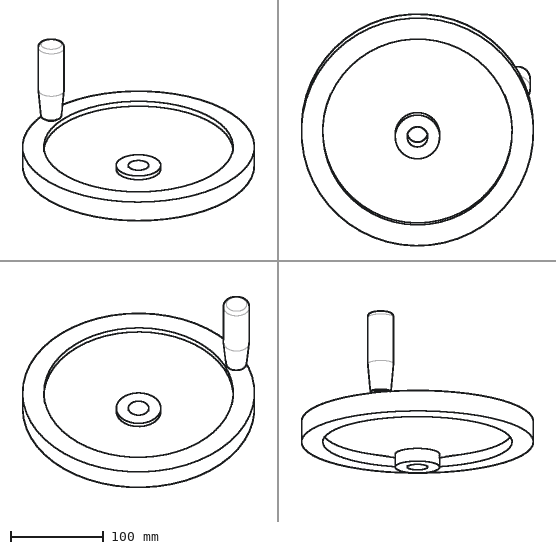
import cadquery as cq
import math

rim_radius = 125.0
rim_inner_radius = 102.0
rim_bottom = 28.0
rim_top = 51.0

hub_radius = 24.0
hub_top = 28.0
bore_radius = 11.0

web_recess_depth = 6.0
web_top_at_hub = 23.4
web_top_at_rim = rim_top - web_recess_depth
web_bottom_at_hub = 14.2
rim_crossing_radius = 67.0
web_bottom_slope = (rim_bottom - web_bottom_at_hub) / (rim_crossing_radius - hub_radius)
web_bottom_at_rim = web_bottom_at_hub + web_bottom_slope * (rim_inner_radius - hub_radius)

grip_radius = 14.0
handle_overhang = 2.5
handle_x = -(rim_radius + handle_overhang - grip_radius)
neck_radius = 6.5
neck_height = 3.0
grip_foot_radius = 11.2
grip_foot_chamfer = 0.5
taper_height = 32.0
grip_bottom = rim_top + neck_height
taper_top = grip_bottom + taper_height

handle_top = 143.5
crown_height = 1.5
crown_radius = 11.0
shoulder_height = 4.0
crown_edge = handle_top - crown_height
shoulder_bottom = crown_edge - shoulder_height
shoulder_mid_radius = 13.4
shoulder_mid_rise = 2.3
shoulder_mid = shoulder_bottom + shoulder_mid_rise


def make_wheel():
    """Hub, dished web and rim turned from one half section, bore included."""
    section = (
        cq.Workplane("XZ")
        .moveTo(bore_radius, 0)
        .lineTo(hub_radius, 0)
        .lineTo(hub_radius, web_bottom_at_hub)
        .lineTo(rim_inner_radius, web_bottom_at_rim)
        .lineTo(rim_inner_radius, rim_bottom)
        .lineTo(rim_radius, rim_bottom)
        .lineTo(rim_radius, rim_top)
        .lineTo(rim_inner_radius, rim_top)
        .lineTo(rim_inner_radius, web_top_at_rim)
        .lineTo(hub_radius, web_top_at_hub)
        .lineTo(hub_radius, hub_top)
        .lineTo(bore_radius, hub_top)
        .close()
    )
    return section.revolve(360, (0, 0, 0), (0, 1, 0))


def make_handle():
    """Neck, chamfered and tapered foot, cylindrical grip, rounded shoulder and domed crown."""
    dome_radius = (crown_radius**2 + crown_height**2) / (2 * crown_height)
    dome_mid_radius = crown_radius / 2
    dome_mid = handle_top - dome_radius + math.sqrt(dome_radius**2 - dome_mid_radius**2)

    section = (
        cq.Workplane("XZ")
        .moveTo(0, rim_top)
        .lineTo(neck_radius, rim_top)
        .lineTo(neck_radius, grip_bottom)
        .lineTo(grip_foot_radius - grip_foot_chamfer, grip_bottom)
        .lineTo(grip_foot_radius, grip_bottom + grip_foot_chamfer)
        .lineTo(grip_radius, taper_top)
        .lineTo(grip_radius, shoulder_bottom)
        .threePointArc((shoulder_mid_radius, shoulder_mid), (crown_radius, crown_edge))
        .threePointArc((dome_mid_radius, dome_mid), (0, handle_top))
        .close()
    )
    return section.revolve(360, (0, 0, 0), (0, 1, 0)).translate((handle_x, 0, 0))


result = make_wheel().union(make_handle())